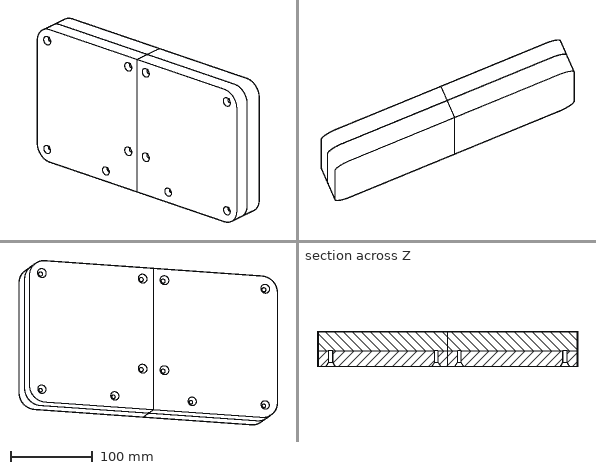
import cadquery as cq

LENGTH = 317.8
DEPTH = 43.0
HEIGHT = 177.3
CORNER_RADIUS = 20.0
BASE_DEPTH = 23.2
PARTING_GAP = 0.25
COVER_DEPTH = DEPTH - BASE_DEPTH - PARTING_GAP
HALF_LENGTH = LENGTH / 2
FRONT_Y = -DEPTH / 2
BASE_FRONT_Y = FRONT_Y + COVER_DEPTH + PARTING_GAP

SMALL_SCREW_DIAMETER = 4.5
SMALL_HEAD_DIAMETER = 10.5
LARGE_SCREW_DIAMETER = 5.0
LARGE_HEAD_DIAMETER = 11.0
COUNTERSINK_ANGLE = 60

OUTER_INSET = 16.0
INNER_OFFSET = 14.0
INNER_TOP_INSET = 14.0
INNER_SPACING = 112.8
LOWER_OFFSET = 49.5
LOWER_INSET = 14.0


def half_shell(side, front_y, depth):
    """Half of the rounded case: side is -1 for the left half, +1 for the right."""
    outer_x = side * HALF_LENGTH
    return (
        cq.Workplane("XY")
        .box(HALF_LENGTH, depth, HEIGHT)
        .translate((outer_x / 2, front_y + depth / 2, 0))
        .edges("|Y")
        .edges("<X" if side < 0 else ">X")
        .fillet(CORNER_RADIUS)
    )


def drill_screws(body, points, screw_diameter, head_diameter):
    """Countersunk holes from the front face through the body, at (x, z) points."""
    return (
        cq.Workplane("XZ", origin=(0, FRONT_Y, 0))
        .add(body)
        .pushPoints(points)
        .cskHole(screw_diameter, head_diameter, COUNTERSINK_ANGLE)
    )


def front_cover(side):
    """Front half-cover with its screw holes."""
    top_z = HEIGHT / 2
    outer_x = side * (HALF_LENGTH - OUTER_INSET)
    outer_z = top_z - OUTER_INSET
    inner_x = side * INNER_OFFSET
    inner_z = top_z - INNER_TOP_INSET
    small_points = [
        (outer_x, -outer_z),
        (side * LOWER_OFFSET, LOWER_INSET - top_z),
    ]
    large_points = [
        (outer_x, outer_z),
        (inner_x, inner_z),
        (inner_x, inner_z - INNER_SPACING),
    ]
    cover = half_shell(side, FRONT_Y, COVER_DEPTH)
    cover = drill_screws(cover, small_points, SMALL_SCREW_DIAMETER, SMALL_HEAD_DIAMETER)
    return drill_screws(cover, large_points, LARGE_SCREW_DIAMETER, LARGE_HEAD_DIAMETER)


def rear_base(side):
    """Rear half of the case, behind the parting plane."""
    return half_shell(side, BASE_FRONT_Y, BASE_DEPTH)


bodies = []
for side in (-1, 1):
    bodies.append(front_cover(side).val())
    bodies.append(rear_base(side).val())

result = cq.Compound.makeCompound(bodies)